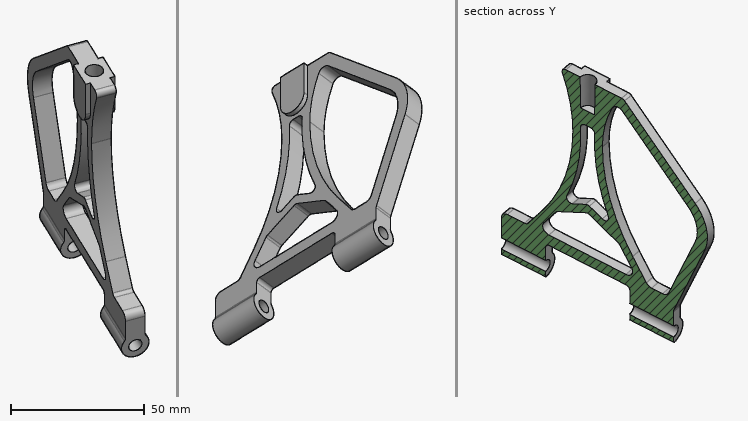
import cadquery as cq
import math

height = 109.6
overall_width = 97.8
thickness = 8.0
strut = 4.0
frame_width = 5.0

hub_outer_x = 40.9
hub_length = 21.0
hub_inner_x = hub_outer_x - hub_length
hub_radius = 5.6
hub_bore = 5.4
hub_neck_fillet = 2.0

bar_bottom_z = 16.7
bar_top_z = 22.1
shoulder_z = 21.8

waist_half_width = 7.1
waist_z = 80.2
waist_radius = 85.5
right_flare_radius = 74.5
left_flare_radius = 54.8
waist_center_x = waist_half_width + waist_radius
foot_start_z = 32.9
foot_angle = math.asin((waist_z - foot_start_z) / waist_radius)

bend_radius = 20.0
bend_x = bend_radius - (overall_width - hub_outer_x)
bend_z = 61.5
upper_normal = math.radians(135)
lower_normal = math.radians(201.1)

chevron_apex_z = 47.5
chevron_slope = math.radians(26.5)
upper_window_top_z = 86.6

boss_width = 12.0
boss_bottom_z = 88.6
boss_bore = 6.9
boss_bore_taper = 1.0
boss_bore_depth = 15.3

small_fillet = 2.0
large_fillet = 3.0
bar_fillet = 1.5


def foot_start(radius=waist_radius):
    """Point where a leg on the given waist radius turns straight."""
    return (
        waist_center_x - radius * math.cos(foot_angle),
        waist_z - radius * math.sin(foot_angle),
    )


def foot_x(z, radius=waist_radius):
    """Half width of the straight foot at height z."""
    start_x, start_z = foot_start(radius)
    return start_x + (start_z - z) * math.tan(foot_angle)


def leg_x(z, radius=waist_radius):
    """Half width of the curved leg at height z."""
    return waist_center_x - math.sqrt(radius**2 - (z - waist_z) ** 2)


def flare_x(z, radius):
    """Half width of the flare above the waist at height z."""
    return waist_half_width + radius - math.sqrt(radius**2 - (z - waist_z) ** 2)


def leg_middle(low_z, high_z, radius=waist_radius):
    """Point on the curved leg halfway up between two heights."""
    z = (low_z + high_z) / 2
    return (leg_x(z, radius), z)


def flare_middle(high_z, radius):
    """Point on the flare halfway up from the waist."""
    z = (waist_z + high_z) / 2
    return (flare_x(z, radius), z)


def mirror_x(point):
    return (-point[0], point[1])


def bend_point(radius, angle):
    """Point on a circle about the bend centre."""
    return (bend_x + radius * math.cos(angle), bend_z + radius * math.sin(angle))


def frame_line_x(radius, normal, z):
    """X at height z on the straight run touching the bend circle where its normal points."""
    return bend_x + (radius - (z - bend_z) * math.sin(normal)) / math.cos(normal)


def frame_line_z(radius, normal, x):
    """Z at position x on the straight run touching the bend circle where its normal points."""
    return bend_z + (radius - (x - bend_x) * math.cos(normal)) / math.sin(normal)


def meet(gap, low, high):
    """Height between low and high where the increasing function gap becomes zero."""
    for _ in range(60):
        middle = (low + high) / 2
        if gap(middle) < 0:
            low = middle
        else:
            high = middle
    return low


def extrude_plate(outline):
    return outline.close().extrude(thickness / 2, both=True)


def round_corners(body, corners, radius):
    """Fillet the Y edges standing at the given (x, z) corners."""
    for x, z in corners:
        edge = cq.selectors.NearestToPointSelector((x, 0, z))
        body = body.edges("|Y").edges(edge).fillet(radius)
    return body


def make_plate():
    top_left = (frame_line_x(bend_radius, upper_normal, height), height)
    top_right = (flare_x(height, right_flare_radius), height)
    tower_foot = (foot_x(shoulder_z), shoulder_z)
    shoulder = (hub_outer_x, shoulder_z)
    frame_foot = (-hub_outer_x, frame_line_z(bend_radius, lower_normal, -hub_outer_x))
    bar_ends = [(-hub_inner_x, bar_bottom_z), (hub_inner_x, bar_bottom_z)]
    outline = (
        cq.Workplane("XZ")
        .moveTo(*top_left)
        .lineTo(*top_right)
        .threePointArc(flare_middle(height, right_flare_radius), (waist_half_width, waist_z))
        .threePointArc(leg_middle(foot_start_z, waist_z), foot_start())
        .lineTo(*tower_foot)
        .lineTo(*shoulder)
        .lineTo(hub_outer_x, hub_radius)
        .lineTo(hub_inner_x, hub_radius)
        .lineTo(*bar_ends[1])
        .lineTo(*bar_ends[0])
        .lineTo(-hub_inner_x, hub_radius)
        .lineTo(-hub_outer_x, hub_radius)
        .lineTo(*frame_foot)
        .lineTo(*bend_point(bend_radius, lower_normal))
        .threePointArc(
            bend_point(bend_radius, math.pi),
            bend_point(bend_radius, upper_normal),
        )
    )
    plate = extrude_plate(outline)
    plate = round_corners(plate, [top_left, top_right, tower_foot], small_fillet)
    plate = round_corners(plate, [shoulder, frame_foot], large_fillet)
    return round_corners(plate, bar_ends, bar_fillet)


def make_side_window():
    """Opening between the bent frame and the left tower leg."""
    radius = bend_radius - frame_width

    def tower_gap(z):
        return frame_line_x(radius, upper_normal, z) + flare_x(z, left_flare_radius)

    top_z = meet(tower_gap, waist_z, height)
    top = (-flare_x(top_z, left_flare_radius), top_z)
    foot_right = (-foot_x(shoulder_z), shoulder_z)
    foot_left = (frame_line_x(radius, lower_normal, shoulder_z), shoulder_z)
    outline = (
        cq.Workplane("XZ")
        .moveTo(*top)
        .threePointArc(
            mirror_x(flare_middle(top_z, left_flare_radius)), (-waist_half_width, waist_z)
        )
        .threePointArc(mirror_x(leg_middle(foot_start_z, waist_z)), mirror_x(foot_start()))
        .lineTo(*foot_right)
        .lineTo(*foot_left)
        .lineTo(*bend_point(radius, lower_normal))
        .threePointArc(bend_point(radius, math.pi), bend_point(radius, upper_normal))
    )
    return round_corners(extrude_plate(outline), [top, foot_right, foot_left], large_fillet)


def chevron_corner(apex_z, radius, side_x):
    """Right-hand point where a chevron with the given apex meets the tower side side_x."""

    def chevron_gap(z):
        return z - apex_z + side_x(z, radius) * math.tan(chevron_slope)

    z = meet(chevron_gap, bar_top_z, apex_z)
    return (side_x(z, radius), z)


def make_upper_window():
    """Opening between the two legs, above the chevron."""
    radius = waist_radius + strut
    apex = (0, chevron_apex_z)
    corner = chevron_corner(chevron_apex_z, radius, leg_x)
    end = (leg_x(upper_window_top_z, radius), upper_window_top_z)
    middle = leg_middle(corner[1], upper_window_top_z, radius)
    outline = (
        cq.Workplane("XZ")
        .moveTo(*apex)
        .lineTo(*corner)
        .threePointArc(middle, end)
        .lineTo(*mirror_x(end))
        .threePointArc(mirror_x(middle), mirror_x(corner))
    )
    corners = [apex, corner, mirror_x(corner), end, mirror_x(end)]
    return round_corners(extrude_plate(outline), corners, small_fillet)


def make_lower_window():
    """Opening between the chevron, the straight feet and the base bar."""
    radius = waist_radius + strut
    apex = (0, chevron_apex_z - strut / math.cos(chevron_slope))
    corner = chevron_corner(apex[1], radius, foot_x)
    end = (foot_x(bar_top_z, radius), bar_top_z)
    outline = (
        cq.Workplane("XZ")
        .moveTo(*apex)
        .lineTo(*corner)
        .lineTo(*end)
        .lineTo(*mirror_x(end))
        .lineTo(*mirror_x(corner))
    )
    window = round_corners(extrude_plate(outline), [apex, corner, mirror_x(corner)], small_fillet)
    return round_corners(window, [end, mirror_x(end)], large_fillet)


def make_boss():
    """Full-round tongue standing proud of both plate faces."""
    radius = boss_width / 2
    round_z = boss_bottom_z + radius
    return (
        cq.Workplane("XZ")
        .moveTo(-radius, height)
        .lineTo(-radius, round_z)
        .threePointArc((0, boss_bottom_z), (radius, round_z))
        .lineTo(radius, height)
        .close()
        .extrude(boss_width / 2, both=True)
    )


def hub_cylinder(start_x, radius):
    return (
        cq.Workplane("YZ", origin=(start_x, 0, hub_radius)).circle(radius).extrude(hub_length)
    )


def round_hub_neck(body, start_x):
    """Fillet the two edges where the plate faces run into the hub."""
    half_width = thickness / 2
    neck_z = hub_radius + math.sqrt(hub_radius**2 - half_width**2)
    for face_y in (-half_width, half_width):
        edge = cq.selectors.NearestToPointSelector((start_x + hub_length / 2, face_y, neck_z))
        body = body.edges("|X").edges(edge).fillet(hub_neck_fillet)
    return body


part = make_plate()
part = part.cut(make_side_window()).cut(make_upper_window()).cut(make_lower_window())
part = part.union(make_boss())

for hub_start_x in (-hub_outer_x, hub_inner_x):
    part = part.union(hub_cylinder(hub_start_x, hub_radius))
    part = round_hub_neck(part, hub_start_x)
    part = part.cut(hub_cylinder(hub_start_x, hub_bore / 2))

boss_hole = (
    cq.Workplane("XY", origin=(0, 0, height))
    .circle(boss_bore / 2)
    .extrude(-boss_bore_depth, taper=boss_bore_taper)
)
result = part.cut(boss_hole)